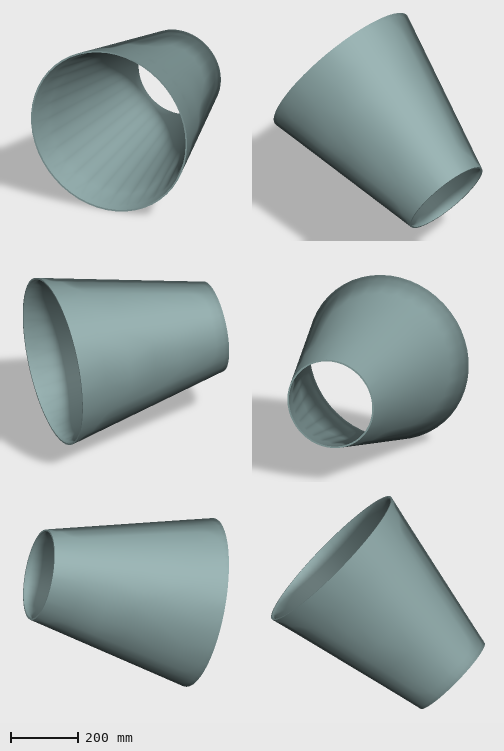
import cadquery as cq

length = 508.0
wide_diameter = 508.0
narrow_diameter = 273.0
wall = 5.0

wide_radius = wide_diameter / 2
narrow_radius = narrow_diameter / 2

wall_section = (
    cq.Workplane("XY")
    .moveTo(wide_radius, 0)
    .lineTo(narrow_radius, length)
    .lineTo(narrow_radius - wall, length)
    .lineTo(wide_radius - wall, 0)
    .close()
)

result = wall_section.revolve(360, (0, 0, 0), (0, 1, 0))